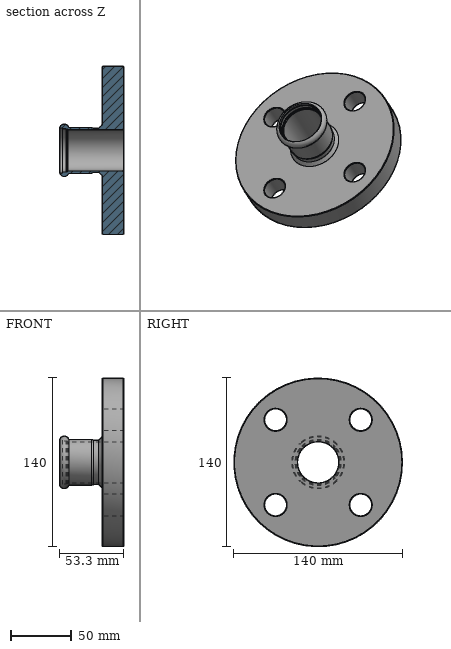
import cadquery as cq
import math

total_length = 53.3
flange_diameter = 140.0
flange_thickness = 18.0
flange_chamfer = 0.5
flange_face = total_length - flange_thickness

bolt_count = 4
bolt_circle_diameter = 100.0
bolt_hole_diameter = 18.0
bolt_hole_chamfer = 0.5

bead_diameter = 43.8
bead_radius = 3.9
tube_diameter = 38.4
tube_end = 26.3

neck_diameter = 37.0
neck_start = 28.3
cone_start = 32.5

mouth_diameter = 37.2
mouth_depth = 2.2
socket_diameter = 35.8
socket_depth = 5.2
seat_diameter = 35.4
seat_depth = 6.3
bore_diameter = 34.0
bore_start = 6.9


def ring_body():
    """Revolve the bead, tube, neck, flange and stepped bore as one ring about X."""
    flange_radius = flange_diameter / 2
    tube_radius = tube_diameter / 2
    neck_radius = neck_diameter / 2
    mouth_radius = mouth_diameter / 2
    socket_radius = socket_diameter / 2
    seat_radius = seat_diameter / 2
    bore_radius = bore_diameter / 2
    crown_radius = bead_diameter / 2
    bead_center_radius = crown_radius - bead_radius

    mouth_rise = mouth_radius - bead_center_radius
    crown_position = math.sqrt(bead_radius**2 - mouth_rise**2)
    tube_rise = tube_radius - bead_center_radius
    bead_end = crown_position + math.sqrt(bead_radius**2 - tube_rise**2)
    cone_radius = neck_radius + flange_face - cone_start

    profile = (
        cq.Workplane("XY")
        .moveTo(0, mouth_radius)
        .threePointArc((crown_position, crown_radius), (bead_end, tube_radius))
        .lineTo(tube_end, tube_radius)
        .lineTo(neck_start, neck_radius)
        .lineTo(cone_start, neck_radius)
        .lineTo(flange_face, cone_radius)
        .lineTo(flange_face, flange_radius - flange_chamfer)
        .lineTo(flange_face + flange_chamfer, flange_radius)
        .lineTo(total_length - flange_chamfer, flange_radius)
        .lineTo(total_length, flange_radius - flange_chamfer)
        .lineTo(total_length, bore_radius)
        .lineTo(bore_start, bore_radius)
        .lineTo(seat_depth, seat_radius)
        .lineTo(socket_depth, seat_radius)
        .lineTo(socket_depth, socket_radius)
        .lineTo(mouth_depth, socket_radius)
        .lineTo(mouth_depth, mouth_radius)
        .close()
    )
    return profile.revolve(360, (0, 0, 0), (1, 0, 0))


def bolt_hole_cutter():
    """One bolt hole on the X axis, chamfered where it meets both flange faces."""
    hole_radius = bolt_hole_diameter / 2
    mouth_radius = hole_radius + bolt_hole_chamfer
    profile = (
        cq.Workplane("XY")
        .moveTo(flange_face, 0)
        .lineTo(flange_face, mouth_radius)
        .lineTo(flange_face + bolt_hole_chamfer, hole_radius)
        .lineTo(total_length - bolt_hole_chamfer, hole_radius)
        .lineTo(total_length, mouth_radius)
        .lineTo(total_length, 0)
        .close()
    )
    return profile.revolve(360, (0, 0, 0), (1, 0, 0))


result = ring_body()
for index in range(bolt_count):
    angle = math.radians(45) + index * math.tau / bolt_count
    offset_y = bolt_circle_diameter / 2 * math.cos(angle)
    offset_z = bolt_circle_diameter / 2 * math.sin(angle)
    result = result.cut(bolt_hole_cutter().translate((0, offset_y, offset_z)))